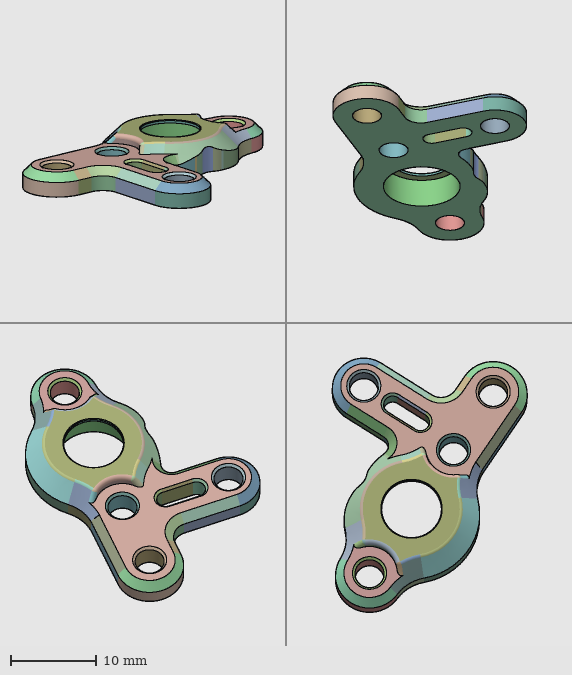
import cadquery as cq
import math

wall_height = 1.8
plate_height = 2.8
boss_height = 3.9
boss_edge_round = 0.5
tolerance = 0.01

disc_radius = 8.0
lobe_radius = 4.0
lobe_offset = 9.0
neck_radius = 5.0
pocket_radius = 3.25

leg_radius = lobe_radius
leg_end_y = -17.5
leg_arm_fillet = 2.0

arm_radius = 3.7
arm_end_x = 13.1
arm_y = -9.8
arm_disc_fillet = 1.25
arm_disc_fillet_x = 7.9

trim_x = 7.06
trim_radius = 5.0
notch_depth = 0.4
notch_radius = 2.0
notch_top_y = 1.9

bore_diameter = 7.0
bore_chamfer = 0.1
seat_diameter = 9.0
lip_thickness = 0.4
screw_diameter = 3.4
slot_length = 6.0
slot_width = 2.1
slot_x = 7.1
hole_chamfer = 0.3

arm_top_y = arm_y + arm_radius
arm_bottom_y = arm_y - arm_radius

trim_centre_x = trim_x - trim_radius
trim_centre_y = math.sqrt((disc_radius - trim_radius) ** 2 - trim_centre_x ** 2)

fillet_centre_y = arm_top_y + arm_disc_fillet
fillet_gap_x = arm_disc_fillet_x - trim_x
fillet_gap_y = trim_centre_y + fillet_centre_y
flank_radius = (fillet_gap_x ** 2 + fillet_gap_y ** 2 - arm_disc_fillet ** 2) / (
    2 * (arm_disc_fillet - fillet_gap_x)
)
flank_centre_x = trim_x - flank_radius


def on_circle(x, y, radius, angle):
    """Point on a circle about (x, y), angle in radians from +X."""
    return (x + radius * math.cos(angle), y + radius * math.sin(angle))


def add_flank_and_fillet(outline):
    """Continue an outline at the +X end of the arm's top edge up to the trimmed side of the disc."""
    lean = math.atan2(fillet_gap_y, arm_disc_fillet_x - flank_centre_x)
    tangent_point = on_circle(flank_centre_x, -trim_centre_y, flank_radius, lean)
    bottom = 1.5 * math.pi
    fillet_middle = on_circle(
        arm_disc_fillet_x, fillet_centre_y, arm_disc_fillet, (lean + math.pi + bottom) / 2
    )
    flank_middle = on_circle(flank_centre_x, -trim_centre_y, flank_radius, lean / 2)
    return (
        outline.lineTo(arm_disc_fillet_x, arm_top_y)
        .threePointArc(fillet_middle, tangent_point)
        .threePointArc(flank_middle, (trim_x, -trim_centre_y))
    )


def head_blank():
    """Disc and two lobes, joined by concave necks, with a 45 degree flank up to the boss top."""
    neck_reach = disc_radius + neck_radius
    lobe_reach = lobe_radius + neck_radius
    neck_y = (neck_reach ** 2 - lobe_reach ** 2 + lobe_offset ** 2) / (2 * lobe_offset)
    neck_x = math.sqrt(neck_reach ** 2 - neck_y ** 2)
    disc_end = (neck_x * disc_radius / neck_reach, neck_y * disc_radius / neck_reach)
    lobe_share = lobe_radius / lobe_reach
    lobe_end = (neck_x * lobe_share, lobe_offset + (neck_y - lobe_offset) * lobe_share)
    towards_disc = math.atan2(-neck_y, -neck_x)
    towards_lobe = math.atan2(lobe_offset - neck_y, -neck_x)
    neck_sweep = (towards_disc - towards_lobe) % (2 * math.pi)
    neck_middle = on_circle(neck_x, neck_y, neck_radius, towards_lobe + neck_sweep / 2)

    def placed(point, side_x, side_y):
        return (side_x * point[0], side_y * point[1])

    outline = cq.Workplane("XY").moveTo(*disc_end)
    for side in (1, -1):
        outline = (
            outline.threePointArc(placed(neck_middle, side, side), placed(lobe_end, side, side))
            .threePointArc((0, side * (lobe_offset + lobe_radius)), placed(lobe_end, -side, side))
            .threePointArc(placed(neck_middle, -side, side), placed(disc_end, -side, side))
            .threePointArc((-side * disc_radius, 0), placed(disc_end, -side, -side))
        )
    flank = boss_height - wall_height
    return outline.close().extrude(boss_height).faces(">Z").chamfer(flank)


def side_trim():
    """Block that shapes the +X side of the disc: convex corner, notch and flank above the arm."""
    beyond = disc_radius + arm_end_x
    corner = math.atan2(trim_centre_y, trim_centre_x)
    corner_start = on_circle(0, 0, disc_radius, corner)
    corner_middle = on_circle(trim_centre_x, trim_centre_y, trim_radius, corner / 2)

    radii_sum = (notch_depth ** 2 + notch_top_y ** 2) / (2 * notch_depth)
    shoulder_radius = radii_sum - notch_radius
    shoulder_x = trim_x - shoulder_radius
    turn = math.asin(notch_top_y / radii_sum)
    shoulder_middle = on_circle(shoulder_x, notch_top_y, shoulder_radius, -turn / 2)
    shoulder_end = on_circle(shoulder_x, notch_top_y, shoulder_radius, -turn)

    block = cq.Workplane("XY").moveTo(beyond, arm_top_y)
    block = (
        add_flank_and_fillet(block)
        .lineTo(trim_x, -notch_top_y)
        .threePointArc((shoulder_middle[0], -shoulder_middle[1]), (shoulder_end[0], -shoulder_end[1]))
        .threePointArc((trim_x - notch_depth, 0), shoulder_end)
        .threePointArc(shoulder_middle, (trim_x, notch_top_y))
        .lineTo(trim_x, trim_centre_y)
        .threePointArc(corner_middle, corner_start)
        .lineTo(beyond, corner_start[1])
        .close()
    )
    return block.extrude(boss_height)


def head():
    """Head with the lobes lowered to plate height and the boss edges rounded."""
    body = head_blank()
    for y in (lobe_offset, -lobe_offset):
        pocket = (
            cq.Workplane("XY", origin=(0, y, plate_height))
            .circle(pocket_radius)
            .extrude(boss_height - plate_height)
        )
        body = body.cut(pocket)

    def is_boss_edge(edge):
        box = edge.BoundingBox()
        return box.zmax > boss_height - tolerance and box.zmin > plate_height - tolerance

    return body.edges().filter(is_boss_edge).fillet(boss_edge_round)


def leg_and_arm():
    """Bevelled plate carrying the leg and the arm; its inner end lies within the head."""
    inner_x = leg_radius + leg_arm_fillet
    inner_y = arm_bottom_y - leg_arm_fillet
    inner_reach = leg_arm_fillet * math.sqrt(0.5)
    outline = (
        cq.Workplane("XY")
        .moveTo(-leg_radius, -lobe_offset)
        .lineTo(-leg_radius, leg_end_y)
        .threePointArc((0, leg_end_y - leg_radius), (leg_radius, leg_end_y))
        .lineTo(leg_radius, inner_y)
        .threePointArc((inner_x - inner_reach, inner_y + inner_reach), (inner_x, arm_bottom_y))
        .lineTo(arm_end_x, arm_bottom_y)
        .threePointArc((arm_end_x + arm_radius, arm_y), (arm_end_x, arm_top_y))
    )
    outline = add_flank_and_fillet(outline).lineTo(0, 0).close()
    return outline.extrude(plate_height).faces(">Z").chamfer(plate_height - wall_height)


def round_hole(x, y, top, diameter, chamfer):
    """Cutter for a through hole with a chamfered mouth at the given height."""
    drill = cq.Workplane("XY").circle(diameter / 2).extrude(top)
    mouth = (
        cq.Workplane("XY", origin=(0, 0, top - chamfer))
        .circle(diameter / 2)
        .workplane(offset=chamfer)
        .circle(diameter / 2 + chamfer)
        .loft(ruled=True)
    )
    return drill.union(mouth).translate((x, y, 0))


def bore():
    """Cutter for the bore in the disc: the lip opening and the wider seat beneath it."""
    seat = cq.Workplane("XY").circle(seat_diameter / 2).extrude(boss_height - lip_thickness)
    return round_hole(0, 0, boss_height, bore_diameter, bore_chamfer).union(seat)


def slot_hole():
    """Cutter for the slot in the arm, with a chamfered mouth."""
    mouth_length = slot_length + 2 * hole_chamfer
    mouth_width = slot_width + 2 * hole_chamfer
    drill = cq.Workplane("XY").slot2D(slot_length, slot_width).extrude(plate_height)
    mouth = (
        cq.Workplane("XY", origin=(0, 0, plate_height))
        .slot2D(mouth_length, mouth_width)
        .extrude(-hole_chamfer, taper=45)
    )
    return drill.union(mouth).translate((slot_x, arm_y, 0))


result = head().cut(side_trim()).union(leg_and_arm()).cut(bore())
screw_places = [(0, lobe_offset), (0, -lobe_offset), (0, leg_end_y), (arm_end_x, arm_y)]
for hole_x, hole_y in screw_places:
    result = result.cut(round_hole(hole_x, hole_y, plate_height, screw_diameter, hole_chamfer))
result = result.cut(slot_hole())